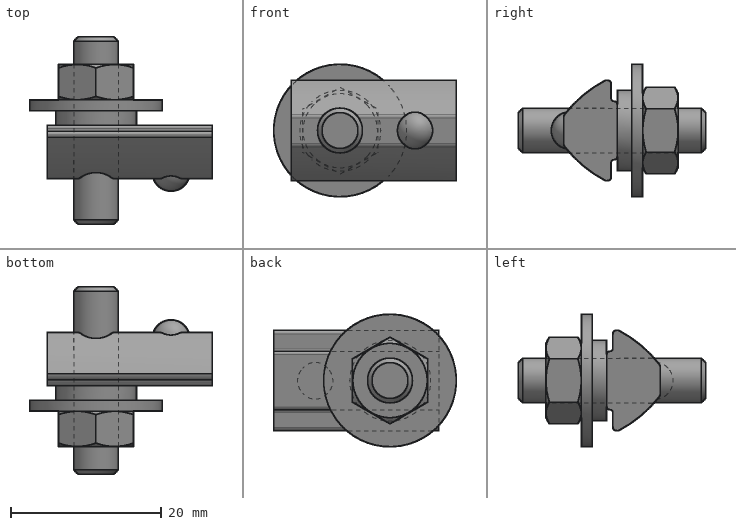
import cadquery as cq
import math


stud_length = 25
stud_diameter = 6
stud_end_diameter = 4.8
stud_chamfer_length = 0.62

slot_nut_front = -6.45
slot_nut_back = 0.7
slot_nut_start = -6.5
slot_nut_length = 22
shoulder_y = -0.1
neck_half_height = 3.9
body_half_height = 6.7
rim_y = -0.88
flank_mid_y = -3.9
flank_mid_half_height = 4.68
front_half_height = 1.95
nose_fillet = 0.75
rim_back_fillet = 0.5
neck_fillet = 0.35
neck_edge_fillet = 0.4

ball_radius = 2.5
ball_x = 10
ball_projection = 1.65

ring_diameter = 10.8
ring_thickness = 1.92
washer_diameter = 17.7
washer_thickness = 1.45
hex_width = 10
hex_thickness = 4.75
hex_face_diameter = 9.9
hex_chamfer_angle = 30

washer_y = slot_nut_back + ring_thickness
hex_y = washer_y + washer_thickness


def cylinder(diameter, start_y, length):
    """Cylinder on the stud axis, running toward +Y."""
    return cq.Workplane("XZ", origin=(0, start_y, 0)).circle(diameter / 2).extrude(-length)


def make_stud():
    radial_chamfer = (stud_diameter - stud_end_diameter) / 2
    stud = cylinder(stud_diameter, -stud_length / 2, stud_length)
    for end in ("<Y", ">Y"):
        stud = stud.faces(end).chamfer(stud_chamfer_length, radial_chamfer)
    return stud


def make_disc(diameter, start_y, thickness):
    """Flat ring that fits on the stud."""
    disc = cylinder(diameter, start_y, thickness)
    return disc.cut(cylinder(stud_diameter, start_y, thickness))


def make_hex_nut():
    corner_diameter = hex_width / math.cos(math.radians(30))
    prism = (
        cq.Workplane("XZ", origin=(0, hex_y, 0))
        .transformed(rotate=(0, 0, 30))
        .polygon(6, corner_diameter)
        .extrude(-hex_thickness)
    )
    radial_chamfer = (corner_diameter - hex_face_diameter) / 2
    axial_chamfer = radial_chamfer * math.tan(math.radians(hex_chamfer_angle))
    envelope = cylinder(corner_diameter, hex_y, hex_thickness)
    for end in ("<Y", ">Y"):
        envelope = envelope.faces(end).chamfer(axial_chamfer, radial_chamfer)
    return prism.intersect(envelope).cut(cylinder(stud_diameter, hex_y, hex_thickness))


def fillet_profile_corner(prism, y, half_height, radius):
    """Round the matching upper and lower long edges at one profile corner."""
    middle_x = slot_nut_start + slot_nut_length / 2
    for z in (half_height, -half_height):
        prism = prism.edges(cq.NearestToPointSelector((middle_x, y, z))).fillet(radius)
    return prism


def make_slot_nut():
    prism = (
        cq.Workplane("YZ", origin=(slot_nut_start, 0, 0))
        .moveTo(slot_nut_back, -neck_half_height)
        .lineTo(slot_nut_back, neck_half_height)
        .lineTo(shoulder_y, neck_half_height)
        .lineTo(shoulder_y, body_half_height)
        .lineTo(rim_y, body_half_height)
        .threePointArc((flank_mid_y, flank_mid_half_height), (slot_nut_front, front_half_height))
        .lineTo(slot_nut_front, -front_half_height)
        .threePointArc((flank_mid_y, -flank_mid_half_height), (rim_y, -body_half_height))
        .lineTo(shoulder_y, -body_half_height)
        .lineTo(shoulder_y, -neck_half_height)
        .close()
        .extrude(slot_nut_length)
    )
    prism = fillet_profile_corner(prism, slot_nut_front, front_half_height, nose_fillet)
    prism = fillet_profile_corner(prism, shoulder_y, body_half_height, rim_back_fillet)
    prism = fillet_profile_corner(prism, shoulder_y, neck_half_height, neck_fillet)
    prism = fillet_profile_corner(prism, slot_nut_back, neck_half_height, neck_edge_fillet)

    ball_y = slot_nut_front - ball_projection + ball_radius
    ball = (
        cq.Workplane("XY")
        .sphere(ball_radius)
        .rotate((0, 0, 0), (1, 0, 0), 90)
        .translate((ball_x, ball_y, 0))
    )
    return prism.union(ball).cut(cylinder(stud_diameter, -stud_length / 2, stud_length))


stud = make_stud()
slot_nut = make_slot_nut()
spacer_ring = make_disc(ring_diameter, slot_nut_back, ring_thickness)
washer = make_disc(washer_diameter, washer_y, washer_thickness)
hex_nut = make_hex_nut()

bodies = [stud, slot_nut, spacer_ring, washer, hex_nut]
result = cq.Compound.makeCompound([body.solids().val() for body in bodies])